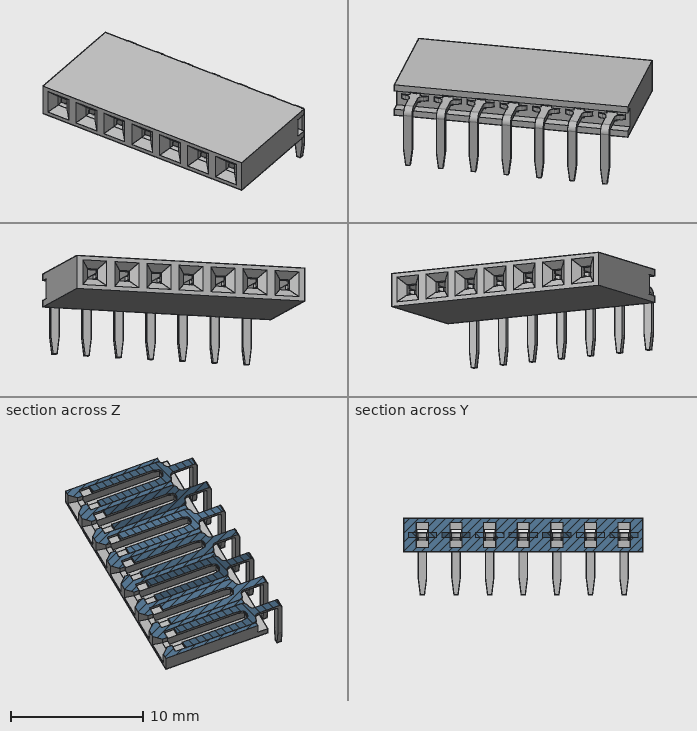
import cadquery as cq
import math

pin_count = 7
housing_length = 18.08
end_margin = 0.15
pitch = (housing_length - 2 * end_margin) / pin_count
housing_height = pitch
housing_depth = 8.5
mid_height = housing_height / 2

channel_height = 1.52
channel_depth = 0.81
channel_floor = housing_depth - channel_depth

funnel_width = 1.9
throat_width = 0.8
funnel_depth = (funnel_width - throat_width) / 2

cavity_front = 1.0
cavity_width = 0.9
cavity_height = 1.88

overall_depth = 10.2
overall_height = 5.8
pin_thickness = 0.36
pin_width = 0.65
bend_outer_radius = 0.58
bend_inner_radius = bend_outer_radius - pin_thickness
tip_width = 0.33
tip_length = 1.28
leg_bottom = housing_height - overall_height

shoulder_radius = 0.36
shoulder_protrusion = 0.52
shoulder_start = channel_floor + shoulder_protrusion
fork_width = pin_width + 4 * shoulder_radius
fork_front = 1.8
fork_slot_width = cavity_width
fork_slot_inset = 0.27
fork_slot_bottom = channel_floor - fork_slot_inset
slot_arc_width = pin_width
slot_arc_radius = 0.5
flank_angle = 14.0

pin_positions = [(index - (pin_count - 1) / 2) * pitch for index in range(pin_count)]


def box(width, y_start, y_end, height, x_center):
    """Box centered on x_center and on the middle height of the housing."""
    return (
        cq.Workplane("XY")
        .box(width, y_end - y_start, height, centered=(True, False, True))
        .translate((x_center, y_start, mid_height))
    )


def make_funnel(x_center):
    """Square pyramid frustum that narrows from the front face to the throat."""
    return (
        cq.Workplane("XZ", origin=(x_center, 0, mid_height))
        .rect(funnel_width, funnel_width)
        .workplane(offset=-funnel_depth)
        .rect(throat_width, throat_width)
        .loft(ruled=True)
    )


def make_housing():
    housing = box(housing_length, 0, housing_depth, housing_height, 0)
    housing = housing.cut(box(housing_length, channel_floor, housing_depth, channel_height, 0))
    for x_center in pin_positions:
        housing = housing.cut(make_funnel(x_center))
        housing = housing.cut(box(throat_width, 0, channel_floor, throat_width, x_center))
        housing = housing.cut(box(cavity_width, cavity_front, fork_slot_bottom, cavity_height, x_center))
        housing = housing.cut(box(fork_width, cavity_front, channel_floor, pin_thickness, x_center))
    return housing


def make_side_profile():
    """L-shaped bent strip seen along X, extruded wide enough to hold the fork."""
    strip_top = mid_height + pin_thickness / 2
    strip_bottom = strip_top - pin_thickness
    leg_inner = overall_depth - pin_thickness
    bend_y = overall_depth - bend_outer_radius
    bend_z = strip_top - bend_outer_radius
    return (
        cq.Workplane("YZ")
        .moveTo(fork_front, strip_top)
        .lineTo(bend_y, strip_top)
        .radiusArc((overall_depth, bend_z), bend_outer_radius)
        .lineTo(overall_depth, leg_bottom)
        .lineTo(leg_inner, leg_bottom)
        .lineTo(leg_inner, bend_z)
        .radiusArc((bend_y, strip_bottom), -bend_inner_radius)
        .lineTo(fork_front, strip_bottom)
        .close()
        .extrude(fork_width / 2, both=True)
    )


def make_fork_plate():
    """Plan shape of the pin: narrow strip, S-curved shoulders, slotted fork."""
    half_pin = pin_width / 2
    half_fork = fork_width / 2
    half_slot = fork_slot_width / 2
    half_arc = slot_arc_width / 2
    shoulder_mid = half_pin + shoulder_radius
    inflection_y = shoulder_start - shoulder_radius
    shoulder_end = inflection_y - shoulder_radius
    arc_rise = slot_arc_radius - math.sqrt(slot_arc_radius**2 - half_arc**2)
    arc_end = fork_slot_bottom - arc_rise
    flank_end = arc_end - (half_slot - half_arc) / math.tan(math.radians(flank_angle))
    half_plate = (
        cq.Workplane("XY", origin=(0, 0, leg_bottom))
        .moveTo(0, overall_depth)
        .lineTo(half_pin, overall_depth)
        .lineTo(half_pin, shoulder_start)
        .radiusArc((shoulder_mid, inflection_y), -shoulder_radius)
        .radiusArc((half_fork, shoulder_end), shoulder_radius)
        .lineTo(half_fork, fork_front)
        .lineTo(half_slot, fork_front)
        .lineTo(half_slot, flank_end)
        .lineTo(half_arc, arc_end)
        .radiusArc((0, fork_slot_bottom), -slot_arc_radius)
        .close()
        .extrude(overall_height)
    )
    return half_plate.union(half_plate.mirror("YZ"))


def make_tip_trim():
    """Wedges on both sides of the leg that taper it towards its lower end."""
    taper_top = leg_bottom + tip_length
    wedge = (
        cq.Workplane("XZ", origin=(0, overall_depth, 0))
        .moveTo(pin_width / 2, taper_top)
        .lineTo(pin_width / 2, leg_bottom)
        .lineTo(tip_width / 2, leg_bottom)
        .close()
        .extrude(pin_thickness)
    )
    return wedge.union(wedge.mirror("YZ"))


def make_pin(x_center):
    pin = make_side_profile().intersect(make_fork_plate()).cut(make_tip_trim())
    return pin.translate((x_center, 0, 0)).solids()


housing = make_housing().solids()
pins = [make_pin(x_center) for x_center in pin_positions]

result = cq.Compound.makeCompound([housing.val(), *[pin.val() for pin in pins]])